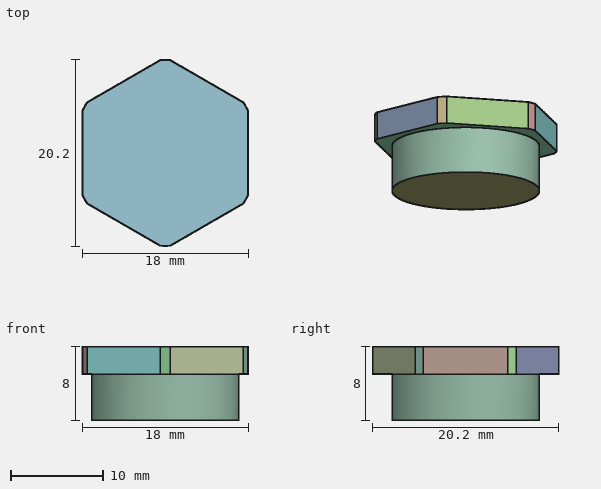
import cadquery as cq
import math

across_flats = 18.0
corner_diameter = 20.2
head_height = 3.0
shank_diameter = 16.0
shank_length = 5.0

side_count = 6
half_side_angle = 180.0 / side_count
across_corners = across_flats / math.cos(math.radians(half_side_angle))


def make_shank():
    """Round plug standing on the XY plane."""
    return cq.Workplane("XY").circle(shank_diameter / 2).extrude(shank_length)


def make_head():
    """Hexagonal head, flats facing +X and -X, with its corners turned to a circle."""
    head_plane = cq.Workplane("XY").workplane(offset=shank_length)
    hexagon = (
        head_plane
        .transformed(rotate=(0, 0, half_side_angle))
        .polygon(side_count, across_corners)
        .extrude(head_height)
    )
    corner_limit = head_plane.circle(corner_diameter / 2).extrude(head_height)
    return hexagon.intersect(corner_limit)


result = make_shank().union(make_head())